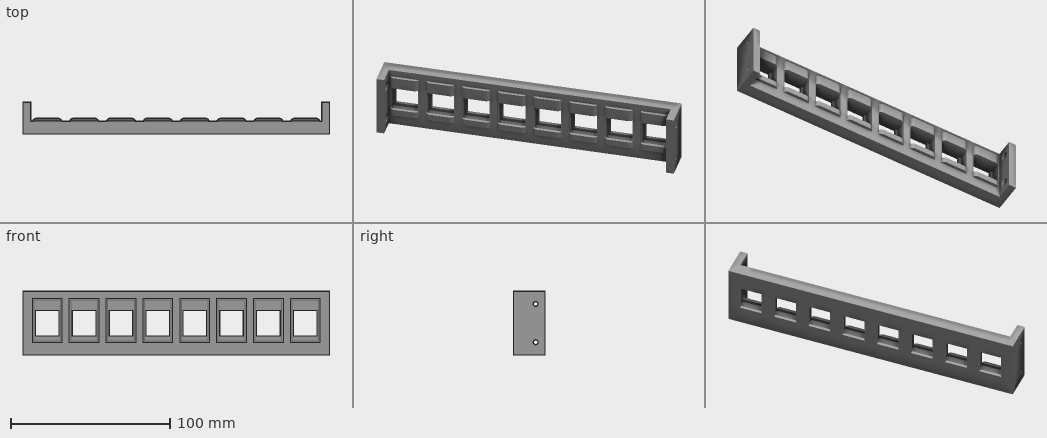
import cadquery as cq

PANEL_LENGTH = 192.5
PANEL_HEIGHT = 40.0
PANEL_THICKNESS = 8.0
EAR_DEPTH = 20.0
EAR_THICKNESS = 5.0

HOLE_DIAMETER = 2.9
HOLE_FROM_REAR = 6.0
HOLE_SPACING = 24.0
COUNTERBORE_DIAMETER = 6.0
COUNTERBORE_DEPTH = 2.0

INSERT_COUNT = 8
ROW_SPAN = 161.9
INSERT_PITCH = ROW_SPAN / (INSERT_COUNT - 1)

INSERT_WIDTH = 18.7
INSERT_HEIGHT = 28.0
INSERT_DEPTH = 10.0
INSERT_BOTTOM = 7.7
REAR_CORNER_DIAMETER = 6.0
RIM_WIDTH = 1.0

WINDOW_WIDTH = 14.6
WINDOW_HEIGHT = 16.0
WINDOW_BOTTOM = 12.0
LIP_DEPTH = 2.0

SIDE_WALL = 0.48
CAVITY_WIDTH = INSERT_WIDTH - 2 * SIDE_WALL
SILL_DEPTH = 2.0
CATCH_DROP = 2.0
CATCH_CORNER_RADIUS = REAR_CORNER_DIAMETER / 2 - SILL_DEPTH


def block(width, height, bottom, front, back):
    """Box centred on X, rising from bottom and running from front to back along Y."""
    return (
        cq.Workplane("XY")
        .box(width, back - front, height, centered=(True, False, False))
        .translate((0, front, bottom))
    )


def make_panel_with_ears():
    """U-shaped channel: the panel in front and an ear at each end."""
    outside = block(PANEL_LENGTH, PANEL_HEIGHT, 0, 0, EAR_DEPTH)
    space_between_ears = block(
        PANEL_LENGTH - 2 * EAR_THICKNESS, PANEL_HEIGHT, 0, PANEL_THICKNESS, EAR_DEPTH
    )
    return outside.cut(space_between_ears)


def cylinder_pair(diameter, half_length):
    """Two cylinders along X on the mounting hole axes, reaching half_length to each side."""
    return (
        cq.Workplane("YZ")
        .center(EAR_DEPTH - HOLE_FROM_REAR, PANEL_HEIGHT / 2)
        .rarray(2, HOLE_SPACING, 1, 2)
        .circle(diameter / 2)
        .extrude(half_length, both=True)
    )


def make_bracket(insert_centers):
    """Bracket with counterbored mounting holes and one rectangular opening per insert."""
    holes = cylinder_pair(HOLE_DIAMETER, PANEL_LENGTH / 2)
    inner_face_x = PANEL_LENGTH / 2 - EAR_THICKNESS
    counterbores = cylinder_pair(COUNTERBORE_DIAMETER, inner_face_x + COUNTERBORE_DEPTH)
    bracket = make_panel_with_ears().cut(holes).cut(counterbores)
    opening = block(INSERT_WIDTH, INSERT_HEIGHT, INSERT_BOTTOM, 0, PANEL_THICKNESS)
    for x in insert_centers:
        bracket = bracket.cut(opening.translate((x, 0, 0)))
    return bracket


def make_insert_body():
    """Insert outside with rounded rear corners; its rim is a separate face flush with the front."""
    body = block(INSERT_WIDTH, INSERT_HEIGHT, INSERT_BOTTOM, 0, INSERT_DEPTH)
    body = body.edges("|Z and >Y").fillet(REAR_CORNER_DIAMETER / 2)
    front_plate = block(
        INSERT_WIDTH - 2 * RIM_WIDTH,
        INSERT_HEIGHT - 2 * RIM_WIDTH,
        INSERT_BOTTOM + RIM_WIDTH,
        0,
        LIP_DEPTH,
    )
    return body.cut(front_plate).union(front_plate, clean=False)


def make_insert(x):
    """Jack insert at x, open from front to back."""
    window = block(WINDOW_WIDTH, WINDOW_HEIGHT, WINDOW_BOTTOM, 0, LIP_DEPTH)
    catch_back = INSERT_DEPTH - SILL_DEPTH
    catch_pocket = block(
        CAVITY_WIDTH,
        WINDOW_HEIGHT + CATCH_DROP,
        WINDOW_BOTTOM - CATCH_DROP,
        LIP_DEPTH,
        catch_back,
    )
    catch_pocket = catch_pocket.edges("|Z and >Y").fillet(CATCH_CORNER_RADIUS)
    rear_opening = block(
        CAVITY_WIDTH,
        WINDOW_HEIGHT,
        WINDOW_BOTTOM,
        catch_back - CATCH_CORNER_RADIUS,
        INSERT_DEPTH,
    )
    insert = make_insert_body()
    for space in (window, catch_pocket, rear_opening):
        insert = insert.cut(space, clean=False)
    return insert.translate((x, 0, 0))


insert_centers = [(i - (INSERT_COUNT - 1) / 2) * INSERT_PITCH for i in range(INSERT_COUNT)]
bracket = make_bracket(insert_centers)
inserts = [make_insert(x) for x in insert_centers]

result = cq.Compound.makeCompound(
    [bracket.solids().val(), *[insert.solids().val() for insert in inserts]]
)